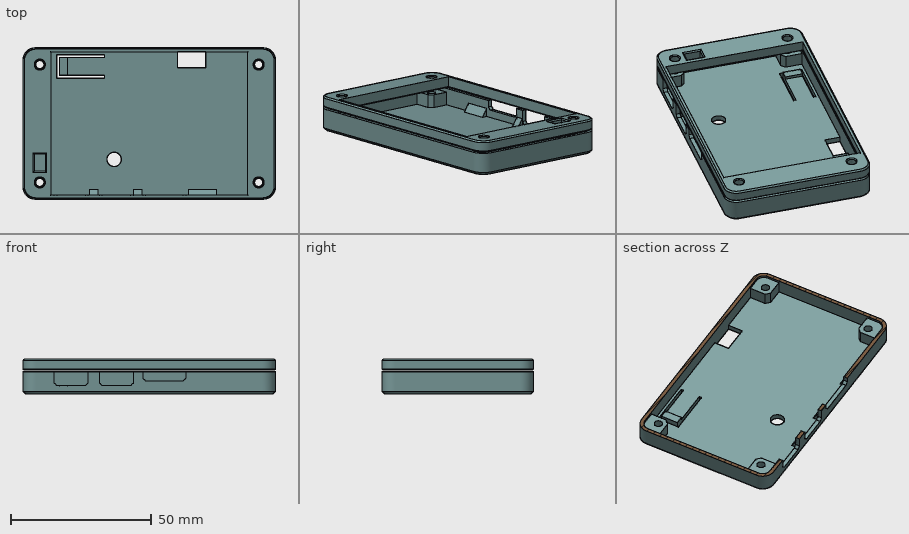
import cadquery as cq
LENGTH = 90.0
WIDTH = 54.0
HEIGHT = 12.5
CORNER_RADIUS = 4.5
WALL = 1.5
CAVITY_LENGTH = LENGTH - 2 * WALL
CAVITY_WIDTH = WIDTH - 2 * WALL

CASE_HEIGHT = 8.0
FLOOR = 2.0
BASE_CHAMFER = 1.0

LID_GAP = 0.5
LID_BOTTOM = CASE_HEIGHT + LID_GAP
LID_HEIGHT = HEIGHT - LID_BOTTOM
LID_END_WIDTH = 10.0
LID_TOP_CHAMFER = 0.5
LID_BOTTOM_CHAMFER = 0.4

SCREW_INSET = 6.0
SCREW_X = LENGTH / 2 - SCREW_INSET
SCREW_Y = WIDTH / 2 - SCREW_INSET
CORNER_SIGNS = [(-1, -1), (-1, 1), (1, -1), (1, 1)]
SCREW_POINTS = [(sign_x * SCREW_X, sign_y * SCREW_Y) for sign_x, sign_y in CORNER_SIGNS]
CASE_SCREW_DIAMETER = 2.9
LID_SCREW_DIAMETER = 3.2
LID_SCREW_CHAMFER = 0.4
POST_HALF_WIDTH = 3.0
POST_CHAMFER = 1.4
POST_DROP = 1.35

LID_WINDOW_X = -SCREW_X
LID_WINDOW_Y = -13.95
LID_WINDOW_LENGTH = 4.0
LID_WINDOW_WIDTH = 6.0
LID_WINDOW_CHAMFER = 0.45

PORTS = [
    (-27.8, 12.1, 5.0),
    (-11.7, 12.1, 5.0),
    (5.4, 15.4, 3.3),
]
PORT_CORNER = 1.0

WEDGES = [
    (-19.7, 3.0),
    (-4.05, 3.0),
    (19.0, 10.0),
]
WEDGE_DEPTH = 2.0
WEDGE_HEIGHT = 3.0

FLOOR_HOLE_X = -12.5
FLOOR_HOLE_Y = -12.8
FLOOR_HOLE_DIAMETER = 5.0
FLOOR_WINDOW_X = 15.1
FLOOR_WINDOW_LENGTH = 10.0
FLOOR_WINDOW_WIDTH = 5.6

TONGUE_TIP_X = -32.0
TONGUE_ROOT_X = -16.0
TONGUE_Y = 20.3
TONGUE_WIDTH = 6.5
TONGUE_SLOT = 0.9
PAD_LENGTH = 3.0
PAD_HEIGHT = 1.0


def box(length, width, height, x, y, bottom):
    """Upright box centred on (x, y), standing on the level `bottom`."""
    centred = cq.Workplane("XY").box(length, width, height, centered=(True, True, False))
    return centred.translate((x, y, bottom))


def rounded_block(length, width, height, radius, bottom):
    """Upright box centred on the origin, with rounded vertical edges."""
    return box(length, width, height, 0, 0, bottom).edges("|Z").fillet(radius)


def cylinders(points, diameter, height, bottom):
    """Equal upright cylinders, standing on the level `bottom`."""
    plane = cq.Workplane("XY", origin=(0, 0, bottom))
    return plane.pushPoints(points).circle(diameter / 2).extrude(height)


def corner_post(sign_x, sign_y):
    """Screw post from the cavity corner to just past its hole, chamfered on the inner edge."""
    inner_x = SCREW_X - POST_HALF_WIDTH
    inner_y = SCREW_Y - POST_HALF_WIDTH
    outer_x = CAVITY_LENGTH / 2
    outer_y = CAVITY_WIDTH / 2
    outline = [
        (inner_x + POST_CHAMFER, inner_y),
        (outer_x, inner_y),
        (outer_x, outer_y),
        (inner_x, outer_y),
        (inner_x, inner_y + POST_CHAMFER),
    ]
    corner_points = [(sign_x * x, sign_y * y) for x, y in outline]
    plane = cq.Workplane("XY", origin=(0, 0, FLOOR))
    return plane.polyline(corner_points).close().extrude(CASE_HEIGHT - POST_DROP - FLOOR)


def wedge(x, length):
    """Support of triangular section, standing on the floor against the front wall."""
    wall_face = -CAVITY_WIDTH / 2
    return (
        cq.Workplane("YZ", origin=(x, 0, 0))
        .moveTo(wall_face, FLOOR)
        .lineTo(wall_face + WEDGE_DEPTH, FLOOR)
        .lineTo(wall_face, FLOOR + WEDGE_HEIGHT)
        .close()
        .extrude(length / 2, both=True)
    )


def port(x, length, depth):
    """Notch through the front wall, open at the rim, with chamfered lower corners."""
    wall_middle = -(WIDTH - WALL) / 2
    notch = box(length, WALL, depth, x, wall_middle, CASE_HEIGHT - depth)
    return notch.edges("<Z and |Y").chamfer(PORT_CORNER)


def floor_window():
    """Rectangular opening in the floor, against the back wall."""
    y = (CAVITY_WIDTH - FLOOR_WINDOW_WIDTH) / 2
    return box(FLOOR_WINDOW_LENGTH, FLOOR_WINDOW_WIDTH, FLOOR, FLOOR_WINDOW_X, y, 0)


def tongue_slot():
    """U-shaped slot around the tip and both sides of the tongue."""
    tongue_length = TONGUE_ROOT_X - TONGUE_TIP_X
    tongue_x = (TONGUE_ROOT_X + TONGUE_TIP_X) / 2
    tongue = box(tongue_length, TONGUE_WIDTH, FLOOR, tongue_x, TONGUE_Y, 0)
    surround_length = tongue_length + TONGUE_SLOT
    surround_width = TONGUE_WIDTH + 2 * TONGUE_SLOT
    surround_x = tongue_x - TONGUE_SLOT / 2
    surround = box(surround_length, surround_width, FLOOR, surround_x, TONGUE_Y, 0)
    return surround.cut(tongue)


def tongue_pad():
    """Raised pad on the tip of the tongue."""
    return box(PAD_LENGTH, TONGUE_WIDTH, PAD_HEIGHT, TONGUE_TIP_X + PAD_LENGTH / 2, TONGUE_Y, FLOOR)


def make_case():
    """Open tray with screw posts, connector ports, supports and floor openings."""
    tray = rounded_block(LENGTH, WIDTH, CASE_HEIGHT, CORNER_RADIUS, 0)
    tray = tray.faces("<Z").chamfer(BASE_CHAMFER)
    cavity = rounded_block(
        CAVITY_LENGTH, CAVITY_WIDTH, CASE_HEIGHT - FLOOR, CORNER_RADIUS - WALL, FLOOR
    )
    tray = tray.cut(cavity)
    for sign_x, sign_y in CORNER_SIGNS:
        tray = tray.union(corner_post(sign_x, sign_y).intersect(cavity))
    for x, length in WEDGES:
        tray = tray.union(wedge(x, length))
    for x, length, depth in PORTS:
        tray = tray.cut(port(x, length, depth))
    tray = tray.cut(cylinders(SCREW_POINTS, CASE_SCREW_DIAMETER, CASE_HEIGHT, 0))
    tray = tray.cut(cylinders([(FLOOR_HOLE_X, FLOOR_HOLE_Y)], FLOOR_HOLE_DIAMETER, FLOOR, 0))
    tray = tray.cut(floor_window())
    tray = tray.cut(tongue_slot())
    return tray.union(tongue_pad())


def lid_screw_holes():
    """Through holes with a countersunk rim at the top of the lid."""
    holes = cylinders(SCREW_POINTS, LID_SCREW_DIAMETER, LID_HEIGHT, LID_BOTTOM)
    rim_radius = LID_SCREW_DIAMETER / 2 + LID_SCREW_CHAMFER
    for x, y in SCREW_POINTS:
        rim = cq.Solid.makeCone(
            LID_SCREW_DIAMETER / 2,
            rim_radius,
            LID_SCREW_CHAMFER,
            pnt=cq.Vector(x, y, HEIGHT - LID_SCREW_CHAMFER),
        )
        holes = holes.union(cq.Workplane(rim))
    return holes


def lid_window():
    """Rectangular opening through the lid that flares outward at the top."""
    opening = box(
        LID_WINDOW_LENGTH, LID_WINDOW_WIDTH, LID_HEIGHT, LID_WINDOW_X, LID_WINDOW_Y, LID_BOTTOM
    )
    flare_length = LID_WINDOW_LENGTH + 2 * LID_WINDOW_CHAMFER
    flare_width = LID_WINDOW_WIDTH + 2 * LID_WINDOW_CHAMFER
    flare = (
        cq.Workplane("XY", origin=(LID_WINDOW_X, LID_WINDOW_Y, HEIGHT - LID_WINDOW_CHAMFER))
        .rect(LID_WINDOW_LENGTH, LID_WINDOW_WIDTH)
        .workplane(offset=LID_WINDOW_CHAMFER)
        .rect(flare_length, flare_width)
        .loft(ruled=True)
    )
    return opening.union(flare)


def make_lid():
    """Frame with wide ends, a large central opening, screw holes and a small window."""
    frame = rounded_block(LENGTH, WIDTH, LID_HEIGHT, CORNER_RADIUS, LID_BOTTOM)
    frame = frame.faces(">Z").chamfer(LID_TOP_CHAMFER)
    frame = frame.cut(box(LENGTH - 2 * LID_END_WIDTH, CAVITY_WIDTH, LID_HEIGHT, 0, 0, LID_BOTTOM))
    frame = frame.faces("<Z").chamfer(LID_BOTTOM_CHAMFER)
    frame = frame.cut(lid_screw_holes())
    return frame.cut(lid_window())


case = make_case().solids()
lid = make_lid().solids()

result = cq.Compound.makeCompound([case.val(), lid.val()])